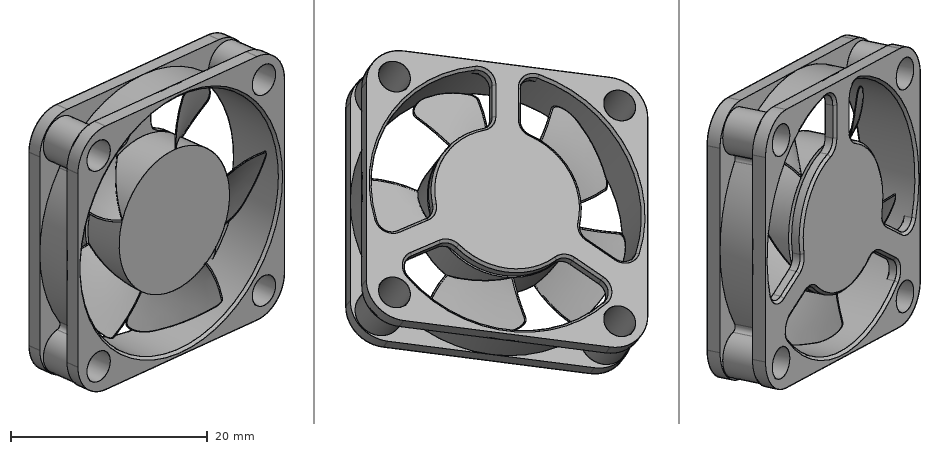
import cadquery as cq
import math

side = 30.0
depth = 7.0
flange_thickness = 1.55
corner_radius = 4.0

screw_offset = 12.0
screw_diameter = 3.4
boss_radius = 2.5
boss_fillet = 0.5

bore_diameter = 28.8
spider_thickness = 1.2
spider_disc_radius = 8.0
strut_width = 3.0
strut_angles = [90, 210, 330]
slot_corner_radius = 1.5
duct_chamfer = 0.3

rotor_front = 1.55
rotor_back = 6.0
rotor_radius = spider_disc_radius
blade_count = 5
blade_tip_radius = 13.83
blade_thickness = 0.18
blade_overlap = 0.3
blade_root_radius = rotor_radius - blade_overlap
front_corner_radius = 1.35
back_corner_radius = 0.35
front_edge_angles = [118.5, 116.2, 113.4]
back_edge_angles = [160.8, 159.9, 156.0]
blade_bow = 1.3
blade_section_count = 5

tolerance = 0.003


def disc(radius, start, end):
    """A round bar along X from start to end."""
    return cq.Workplane("YZ", origin=(start, 0, 0)).circle(radius).extrude(end - start)


def screw_points(workplane):
    """The four screw centers on a workplane."""
    return workplane.rect(2 * screw_offset, 2 * screw_offset, forConstruction=True).vertices()


def flange(start):
    """A square plate with rounded corners."""
    plate = cq.Workplane("YZ", origin=(start, 0, 0)).rect(side, side).extrude(flange_thickness)
    return plate.edges("|X").fillet(corner_radius)


def is_boss_joint(edge):
    """True for the edges along X where a boss meets the duct wall, not for seams of round faces."""
    center = edge.Center()
    on_wall = abs(math.hypot(center.y, center.z) - side / 2) < tolerance
    return on_wall and abs(center.z) > boss_radius


def make_core():
    """Duct wall and screw bosses between the two flanges."""
    length = depth - 2 * flange_thickness
    bosses = screw_points(cq.Workplane("YZ", origin=(flange_thickness, 0, 0)))
    bosses = bosses.circle(boss_radius).extrude(length)
    core = disc(side / 2, flange_thickness, depth - flange_thickness).union(bosses)
    return core.edges("|X").filter(is_boss_joint).fillet(boss_fillet)


def make_slots():
    """The three openings between the struts of the spider."""
    slots = disc(bore_diameter / 2, 0, spider_thickness)
    slots = slots.cut(disc(spider_disc_radius, 0, spider_thickness))
    for angle in strut_angles:
        strut = cq.Workplane("XY").box(
            spider_thickness, side / 2, strut_width, centered=(False, False, True)
        )
        slots = slots.cut(strut.rotate((0, 0, 0), (1, 0, 0), angle))
    return slots.edges("|X").fillet(slot_corner_radius)


def make_housing():
    """Flanges and core in one piece, with the duct, spider slots and screw holes cut through."""
    body = flange(0).union(make_core()).union(flange(depth - flange_thickness))
    body = body.cut(disc(bore_diameter / 2, spider_thickness, depth))
    body = body.cut(make_slots())
    slot_rims = [edge for wire in body.faces("<X").val().innerWires() for edge in wire.Edges()]
    body = body.newObject(slot_rims).chamfer(duct_chamfer)
    outlet_rim = body.faces(">X").val().innerWires()[0].Edges()
    body = body.newObject(outlet_rim).chamfer(duct_chamfer)
    holes = screw_points(cq.Workplane("YZ")).circle(screw_diameter / 2).extrude(depth)
    return body.cut(holes)


def polar_point(radius, angle, sideways):
    """A (Y, Z) point at a radius and angle, moved sideways across the radius."""
    turn = math.radians(angle)
    y = radius * math.cos(turn) - sideways * math.sin(turn)
    z = radius * math.sin(turn) + sideways * math.cos(turn)
    return (y, z)


def make_blade():
    """A thin curved strip lofted along X while it turns about the axis."""
    outer_radius = blade_tip_radius + blade_overlap
    middle_radius = (blade_root_radius + outer_radius) / 2
    radii = [blade_root_radius, middle_radius, outer_radius]
    step = 1 / (blade_section_count - 1)
    sections = []
    for index in range(blade_section_count):
        share = index * step
        bow = blade_bow * 4 * share * (1 - share)
        angles = [a + share * (b - a) + bow for a, b in zip(front_edge_angles, back_edge_angles)]
        low = [polar_point(r, a, -blade_thickness / 2) for r, a in zip(radii, angles)]
        high = [polar_point(r, a, blade_thickness / 2) for r, a in zip(radii, angles)]
        x = rotor_front + share * (rotor_back - rotor_front)
        outline = cq.Workplane("YZ", origin=(x, 0, 0)).moveTo(*low[0]).threePointArc(low[1], low[2])
        outline = outline.lineTo(*high[2]).threePointArc(high[1], high[0]).close()
        sections.append(outline.val())
    blade = cq.Workplane(cq.Solid.makeLoft(sections))
    limit = disc(blade_tip_radius, rotor_front, rotor_back)
    limit = limit.faces("<X").edges().fillet(front_corner_radius)
    limit = limit.faces(">X").edges().fillet(back_corner_radius)
    return blade.intersect(limit)


def make_rotor():
    """Hub with its ring of equally spaced blades."""
    rotor = disc(rotor_radius, rotor_front, rotor_back)
    blade = make_blade()
    for index in range(blade_count):
        rotor = rotor.union(blade.rotate((0, 0, 0), (1, 0, 0), index * 360 / blade_count))
    return rotor


housing = make_housing().solids()
rotor = make_rotor().solids()
result = cq.Compound.makeCompound([housing.val(), rotor.val()])